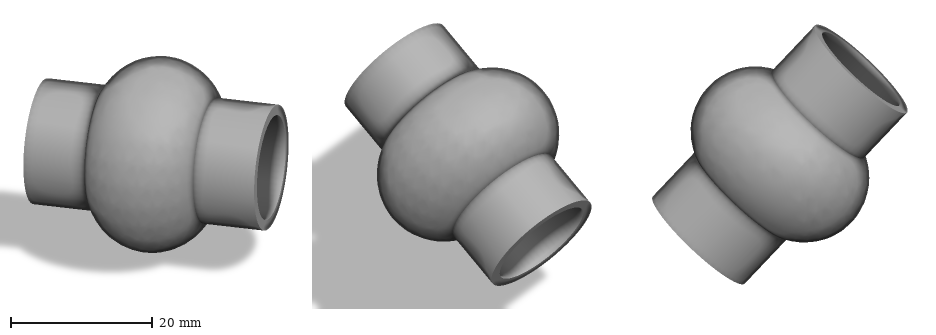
import cadquery as cq

length = 34.0
tube_diameter = 18.0
bore_diameter = 15.0
bulge_diameter = 28.0
bulge_width = 16.05

half_length = length / 2
half_bulge = bulge_width / 2
tube_radius = tube_diameter / 2
bore_radius = bore_diameter / 2
bulge_radius = bulge_diameter / 2

wall_section = (
    cq.Workplane("XY")
    .moveTo(-half_length, bore_radius)
    .lineTo(-half_length, tube_radius)
    .lineTo(-half_bulge, tube_radius)
    .threePointArc((0, bulge_radius), (half_bulge, tube_radius))
    .lineTo(half_length, tube_radius)
    .lineTo(half_length, bore_radius)
    .close()
)

result = wall_section.revolve(360, (0, 0, 0), (1, 0, 0))